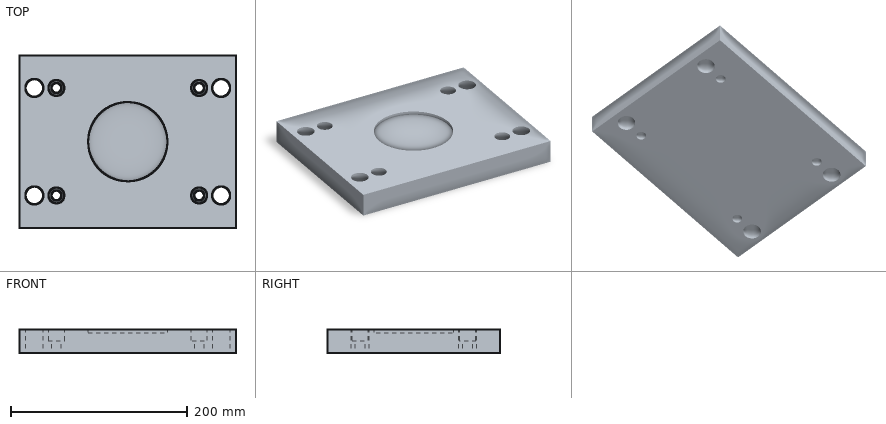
import cadquery as cq

plate_length = 246.0
plate_width = 196.0
plate_thickness = 27.0

recess_diameter = 90.0
recess_depth = 4.0

guide_hole_diameter = 20.0
guide_spacing_x = 212.0

screw_hole_diameter = 11.0
screw_head_diameter = 18.0
screw_head_depth = 13.0
screw_spacing_x = 162.0

row_spacing_y = 122.0


def make_plate():
    """Plate centred on the Z axis with its bottom face at Z = 0."""
    return cq.Workplane("XY").box(
        plate_length, plate_width, plate_thickness, centered=(True, True, False)
    )


def cut_recess(body):
    """Shallow round recess, open at the top face."""
    top = body.faces(">Z").workplane(origin=(0, 0, plate_thickness))
    return top.hole(recess_diameter, recess_depth)


def at_hole_pattern(body, spacing_x):
    """Four points on the top face, mirrored about both centre planes."""
    top = body.faces(">Z").workplane(origin=(0, 0, plate_thickness))
    return top.rarray(spacing_x, row_spacing_y, 2, 2)


def cut_guide_holes(body):
    return at_hole_pattern(body, guide_spacing_x).hole(guide_hole_diameter)


def cut_screw_holes(body):
    return at_hole_pattern(body, screw_spacing_x).cboreHole(
        screw_hole_diameter, screw_head_diameter, screw_head_depth
    )


plate = make_plate()
plate = cut_recess(plate)
plate = cut_guide_holes(plate)
result = cut_screw_holes(plate)